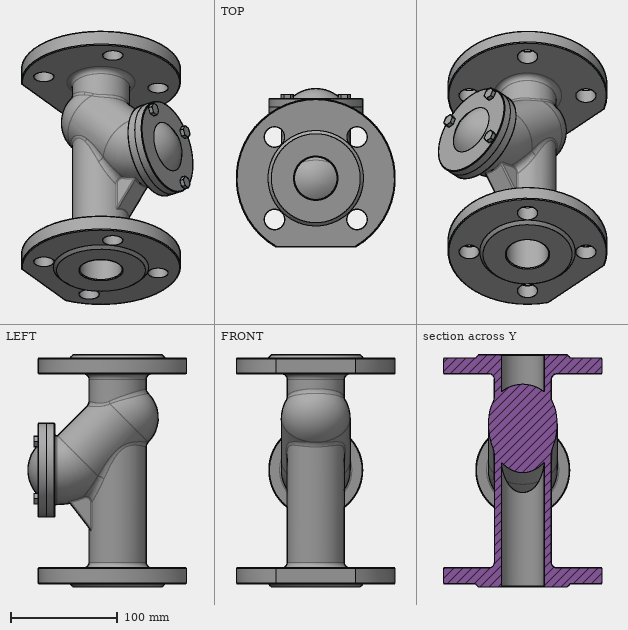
import cadquery as cq
import math

overall_height = 219.0
pipe_diameter = 54.0
bore_diameter = 40.0
bore_chamfer = 0.9
bore_chamfer_angle = 45.0

flange_diameter = 150.0
flange_thickness = 15.1
flange_flat_distance = 65.0
flange_edge_chamfer = 0.9
raised_face_diameter = 90.0
raised_face_height = 3.0
raised_face_taper = 45.0
flange_hole_diameter = 19.0
flange_hole_circle = 110.0
flange_hole_count = 4
flange_first_hole_angle = 45.0
flange_root_fillet = 5.0

branch_diameter = 65.0
branch_angle = 45.0
sphere_y = -6.0
sphere_z = 50.0
elbow_bend_radius = 32.8
branch_fillet = 6.1

bonnet_z = 0.7
bonnet_diameter = 88.7
bonnet_flange_thickness = 8.0
cover_thickness = 7.9
cover_face_y = 75.1
bonnet_edge_chamfer = 0.7
neck_fillet = 1.5
dome_height = 9.6
dome_radius = 34.0

screw_offset = 27.0
screw_across_flats = 10.0
screw_head_height = 4.0

rib_thickness = 22.0
rib_inner_y = 19.7
rib_outer_y = 50.4
rib_top_z = -17.5
rib_foot_z = -63.3
rib_slope = 1.3
rib_edge_fillet = 1.3
rib_root_fillet = 1.3

half_height = overall_height / 2
flange_outer_z = half_height - raised_face_height
flange_inner_z = flange_outer_z - flange_thickness
pipe_radius = pipe_diameter / 2
branch_radius = branch_diameter / 2
joint_y = cover_face_y - cover_thickness
bonnet_inner_y = joint_y - bonnet_flange_thickness

bend_z = bonnet_z + elbow_bend_radius
fall = math.sin(math.radians(branch_angle))
reach = math.cos(math.radians(branch_angle))
bend_y = sphere_y + (elbow_bend_radius - reach * (bend_z - sphere_z)) / fall
barrel_length = reach * (bend_y - sphere_y) - fall * (bend_z - sphere_z)

pick_margin = 0.2


def disc_along_y(diameter, start_y, end_y):
    """Round disc on the bonnet axis between two Y positions."""
    plane = cq.Plane(origin=(0, start_y, bonnet_z), xDir=(1, 0, 0), normal=(0, 1, 0))
    return cq.Workplane(plane).circle(diameter / 2).extrude(end_y - start_y)


def make_end_flange():
    """Top flange with its raised face, flat and bolt holes."""
    plate = (
        cq.Workplane("XY", origin=(0, 0, flange_inner_z))
        .circle(flange_diameter / 2)
        .extrude(flange_thickness)
    )
    beyond_flat = (
        cq.Workplane("XY", origin=(0, -flange_flat_distance - flange_diameter / 2, 0))
        .rect(flange_diameter, flange_diameter)
        .extrude(half_height)
    )
    plate = plate.cut(beyond_flat).faces("|Z").edges().chamfer(flange_edge_chamfer)
    holes = (
        cq.Workplane("XY", origin=(0, 0, flange_inner_z))
        .polarArray(flange_hole_circle / 2, flange_first_hole_angle, 360, flange_hole_count)
        .circle(flange_hole_diameter / 2)
        .extrude(flange_thickness)
    )
    raised_face = (
        cq.Workplane("XY", origin=(0, 0, flange_outer_z))
        .circle(raised_face_diameter / 2)
        .extrude(raised_face_height, taper=raised_face_taper)
    )
    return plate.union(raised_face).cut(holes)


def make_branch():
    """Solid branch, from the sphere on the pipe to the end of the neck."""
    sphere = cq.Workplane("XY", origin=(0, sphere_y, sphere_z)).sphere(branch_radius)
    barrel_plane = cq.Plane(
        origin=(0, sphere_y, sphere_z), xDir=(1, 0, 0), normal=(0, reach, -fall)
    )
    barrel = cq.Workplane(barrel_plane).circle(branch_radius).extrude(barrel_length)
    neck = disc_along_y(branch_diameter, bend_y, bonnet_inner_y)
    elbow = (
        cq.Workplane("XZ", origin=(0, bend_y, bonnet_z))
        .circle(branch_radius)
        .revolve(branch_angle, (2.2, elbow_bend_radius, 0), (-2.2, elbow_bend_radius, 0))
    )
    return sphere.union(barrel).union(elbow).union(neck)


def make_rib():
    """Triangular web below the elbow, with its sloped face rounded on both sides."""
    outer_z = rib_foot_z + rib_slope * (rib_outer_y - rib_inner_y)
    rib = (
        cq.Workplane("YZ")
        .polyline([
            (rib_inner_y, rib_foot_z),
            (rib_outer_y, outer_z),
            (rib_outer_y, rib_top_z),
            (rib_inner_y, rib_top_z),
        ])
        .close()
        .extrude(rib_thickness / 2, both=True)
    )
    sloped_face = rib.faces(f">(0, {rib_slope}, -1)")
    return sloped_face.edges("not |X").fillet(rib_edge_fillet)


def make_bores(branch):
    """Bores from both pipe ends, each reaching in as far as the solid branch."""
    full_bore = (
        cq.Workplane("XY", origin=(0, 0, -half_height))
        .circle(bore_diameter / 2)
        .extrude(overall_height)
    )
    mouth = (
        cq.Workplane("XY", origin=(0, 0, half_height))
        .circle(bore_diameter / 2 + bore_chamfer)
        .extrude(-bore_chamfer, taper=bore_chamfer_angle)
    )
    return full_bore.union(mouth).union(mouth.mirror("XY")).cut(branch)


def make_body():
    """One-piece casting: pipe, branch, rib, end flanges and bonnet flange."""
    branch = make_branch()
    pipe = (
        cq.Workplane("XY", origin=(0, 0, -flange_inner_z))
        .circle(pipe_radius)
        .extrude(2 * flange_inner_z)
    )
    body = pipe.union(branch).edges("%BSPLINE").fillet(branch_fillet)
    body = body.union(make_rib())
    rib_roots = body.faces("|X").edges(f"not |(0, 1, {rib_slope})")
    body = rib_roots.fillet(rib_root_fillet)

    bonnet_flange = disc_along_y(bonnet_diameter, bonnet_inner_y, joint_y)
    bonnet_flange = bonnet_flange.faces("<Y").edges().chamfer(bonnet_edge_chamfer)
    body = body.union(bonnet_flange)
    neck_reach = branch_radius + pick_margin
    neck_root = cq.selectors.BoxSelector(
        (-neck_reach, bonnet_inner_y - pick_margin, bonnet_z - neck_reach),
        (neck_reach, bonnet_inner_y + pick_margin, bonnet_z + neck_reach),
        boundingbox=True,
    )
    body = body.edges(neck_root).fillet(neck_fillet)

    end_flange = make_end_flange()
    body = body.union(end_flange).union(end_flange.mirror("XY"))
    pipe_reach = pipe_radius + pick_margin
    flange_roots = cq.selectors.BoxSelector(
        (-pipe_reach, -pipe_reach, -flange_inner_z - pick_margin),
        (pipe_reach, pipe_reach, flange_inner_z + pick_margin),
        boundingbox=True,
    )
    body = body.edges(flange_roots).edges("<Z or >Z").fillet(flange_root_fillet)
    return body.cut(make_bores(branch))


def make_cover():
    """Bonnet cover with its spherical dome."""
    plate = disc_along_y(bonnet_diameter, joint_y, cover_face_y)
    plate = plate.faces(">Y").edges().chamfer(bonnet_edge_chamfer)
    dome_centre_y = cover_face_y + dome_height - dome_radius
    dome = cq.Workplane("XY", origin=(0, dome_centre_y, bonnet_z)).sphere(dome_radius)
    outside = disc_along_y(bonnet_diameter, cover_face_y, cover_face_y + dome_radius)
    return plate.union(dome.intersect(outside))


def make_screw(side, level):
    """Hexagon screw head seated on the cover, with two corners pointing along X."""
    plane = cq.Plane(
        origin=(side * screw_offset, cover_face_y, bonnet_z + level * screw_offset),
        xDir=(1, 0, 0),
        normal=(0, 1, 0),
    )
    across_corners = screw_across_flats / math.cos(math.radians(30))
    return cq.Workplane(plane).polygon(6, across_corners).extrude(screw_head_height)


body = make_body()
cover = make_cover()
screw_places = [(-1, 1), (1, 1), (-1, -1)]
screws = [make_screw(side, level).val() for side, level in screw_places]

result = cq.Compound.makeCompound([body.val(), cover.val(), *screws])